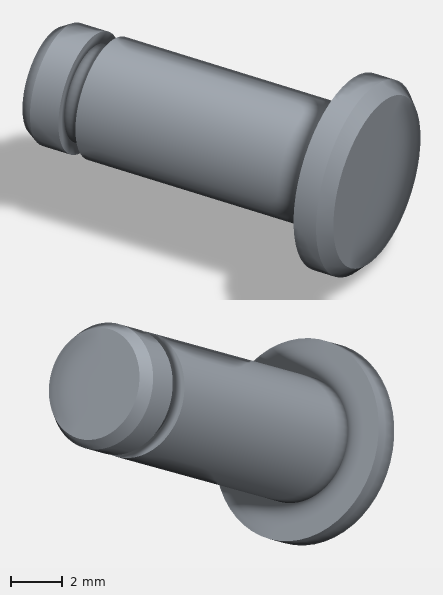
import cadquery as cq

total_length = 14.5
pin_diameter = 5.0
head_diameter = 8.0
head_thickness = 1.5
head_chamfer = 0.5

tip_chamfer_length = 0.5
tip_chamfer_depth = 0.29

groove_diameter = 4.0
groove_start = 1.75
groove_width = 0.75


def cylinder(start, length, diameter):
    """Solid cylinder along +X, starting at the given X."""
    return cq.Workplane("YZ", origin=(start, 0, 0)).circle(diameter / 2).extrude(length)


shank_length = total_length - head_thickness
shank = cylinder(0, shank_length, pin_diameter)
shank = shank.faces("<X").edges().chamfer(tip_chamfer_length, tip_chamfer_depth)

groove_ring = cylinder(groove_start, groove_width, head_diameter).cut(
    cylinder(groove_start, groove_width, groove_diameter)
)
shank = shank.cut(groove_ring)

head = cylinder(shank_length, head_thickness, head_diameter)
head = head.faces(">X").edges().chamfer(head_chamfer)

result = shank.union(head)